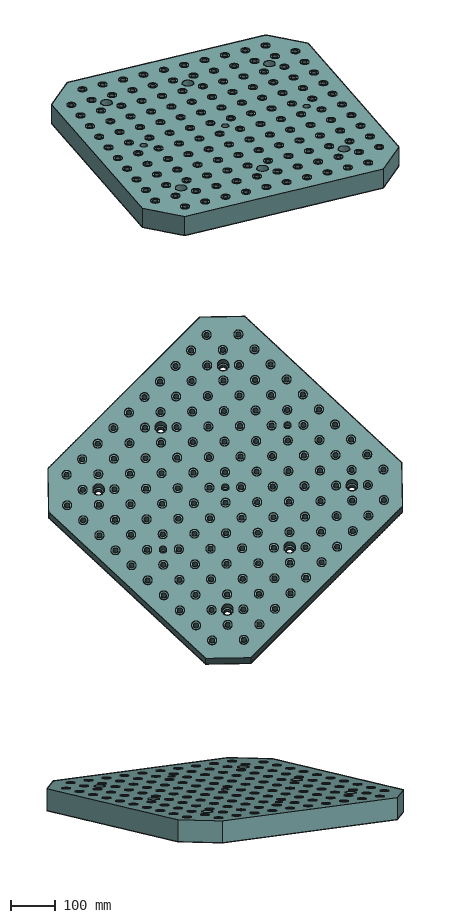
import cadquery as cq

side = 630.0
corner_chamfer = 71.0

grid_count = 12
grid_span = 550.0
pitch = grid_span / (grid_count - 1)
thickness = pitch

grid_bore_diameter = 20.0
grid_bore_depth = 1.0
grid_through_diameter = 11.5

mount_bore_diameter = 26.0
mount_bore_depth = 31.5
mount_through_diameter = 17.5

locating_bore_diameter = 16.0
locating_bore_depth = 31.5
locating_through_diameter = 8.0

pitches_per_row = 4
row_spacing = pitches_per_row * pitch
row_positions = [-row_spacing, 0, row_spacing]


def make_plate():
    """Square plate with its four vertical edges chamfered, bottom face at Z = 0."""
    plate = cq.Workplane("XY").box(side, side, thickness, centered=(True, True, False))
    return plate.edges("|Z").chamfer(corner_chamfer)


def stepped_holes(points, through_diameter, bore_diameter, bore_depth):
    """Through holes widened by a flat-bottomed bore from the top face."""
    through = cq.Workplane("XY").pushPoints(points).circle(through_diameter / 2).extrude(thickness)
    bore_floor = cq.Workplane("XY").workplane(offset=thickness - bore_depth)
    bores = bore_floor.pushPoints(points).circle(bore_diameter / 2).extrude(bore_depth)
    return through.union(bores)


def grid_points():
    """Centres of the square grid, leaving out its four corners."""
    last = grid_count - 1
    points = []
    for column in range(grid_count):
        for row in range(grid_count):
            if column in (0, last) and row in (0, last):
                continue
            points.append((column * pitch - grid_span / 2, row * pitch - grid_span / 2))
    return points


mount_points = [(x, y) for x in (-row_spacing, row_spacing) for y in row_positions]
locating_points = [(0, y) for y in row_positions]

grid_holes = stepped_holes(grid_points(), grid_through_diameter, grid_bore_diameter, grid_bore_depth)
mount_holes = stepped_holes(mount_points, mount_through_diameter, mount_bore_diameter, mount_bore_depth)
locating_holes = stepped_holes(
    locating_points, locating_through_diameter, locating_bore_diameter, locating_bore_depth
)

result = make_plate().cut(grid_holes).cut(mount_holes).cut(locating_holes)